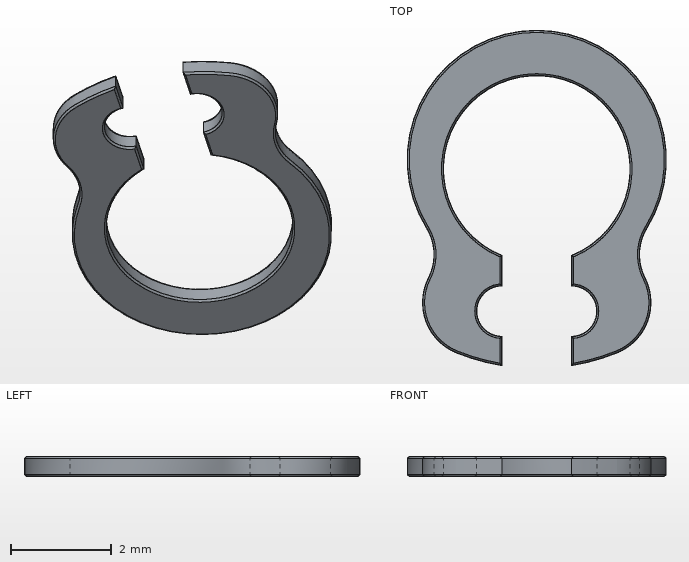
import cadquery as cq
import math

thickness = 0.4
edge_chamfer = 0.04

bore_radius = 1.85
rim_radius = 2.57
rim_center = (0.0, 0.18)

overall_length = 6.65
half_gap = 0.69
lug_radius = 1.075
lug_center = (1.19, -2.65)
neck_radius = 1.02
tip_start_angle = math.radians(-68)

hole_radius = 0.5
hole_center = (half_gap, -2.82)


def toward(start, target, distance):
    """Point at a distance from start along the line to target."""
    length = math.dist(start, target)
    return tuple(s + (t - s) * distance / length for s, t in zip(start, target))


def find_neck_center():
    """Centre of the neck arc, touching the rim and the lug from outside on +X."""
    rim_reach = rim_radius + neck_radius
    lug_reach = lug_radius + neck_radius
    spacing = math.dist(rim_center, lug_center)
    along = (spacing**2 + rim_reach**2 - lug_reach**2) / (2 * spacing)
    aside = math.sqrt(rim_reach**2 - along**2)
    direction_x = (lug_center[0] - rim_center[0]) / spacing
    direction_y = (lug_center[1] - rim_center[1]) / spacing
    return (
        rim_center[0] + along * direction_x - aside * direction_y,
        rim_center[1] + along * direction_y + aside * direction_x,
    )


def find_tip_radius(lug_end, tip_end):
    """Radius of the arc that leaves the lug smoothly at lug_end and stops at tip_end."""
    reach = math.dist(lug_center, tip_end)
    outward = (
        (tip_end[0] - lug_center[0]) * math.cos(tip_start_angle)
        + (tip_end[1] - lug_center[1]) * math.sin(tip_start_angle)
    )
    return (reach**2 - 2 * lug_radius * outward + lug_radius**2) / (2 * (lug_radius - outward))


def mirrored(point):
    """Reflect a point across the YZ plane."""
    return (-point[0], point[1])


def make_plate():
    """Square-edged open ring, traced clockwise from the -X end of the rim."""
    neck_center = find_neck_center()
    rim_top = (0.0, rim_center[1] + rim_radius)
    rim_end = toward(rim_center, neck_center, rim_radius)
    neck_mid = (neck_center[0] - neck_radius, neck_center[1])
    neck_end = toward(lug_center, neck_center, lug_radius)
    lug_mid = (lug_center[0] + lug_radius, lug_center[1])
    lug_end = (
        lug_center[0] + lug_radius * math.cos(tip_start_angle),
        lug_center[1] + lug_radius * math.sin(tip_start_angle),
    )
    tip_end = (half_gap, rim_top[1] - overall_length)
    tip_radius = find_tip_radius(lug_end, tip_end)
    hole_bottom = (hole_center[0], hole_center[1] - hole_radius)
    hole_side = (hole_center[0] + hole_radius, hole_center[1])
    hole_top = (hole_center[0], hole_center[1] + hole_radius)
    bore_end = (half_gap, -math.sqrt(bore_radius**2 - half_gap**2))
    return (
        cq.Workplane("XY")
        .moveTo(*mirrored(rim_end))
        .threePointArc(rim_top, rim_end)
        .threePointArc(neck_mid, neck_end)
        .threePointArc(lug_mid, lug_end)
        .radiusArc(tip_end, tip_radius)
        .lineTo(*hole_bottom)
        .threePointArc(hole_side, hole_top)
        .lineTo(*bore_end)
        .threePointArc((0.0, bore_radius), mirrored(bore_end))
        .lineTo(*mirrored(hole_top))
        .threePointArc(mirrored(hole_side), mirrored(hole_bottom))
        .lineTo(*mirrored(tip_end))
        .radiusArc(mirrored(lug_end), tip_radius)
        .threePointArc(mirrored(lug_mid), mirrored(neck_end))
        .threePointArc(mirrored(neck_mid), mirrored(rim_end))
        .close()
        .extrude(thickness)
    )


plate = make_plate()
result = plate.faces("<Z or >Z").chamfer(edge_chamfer)